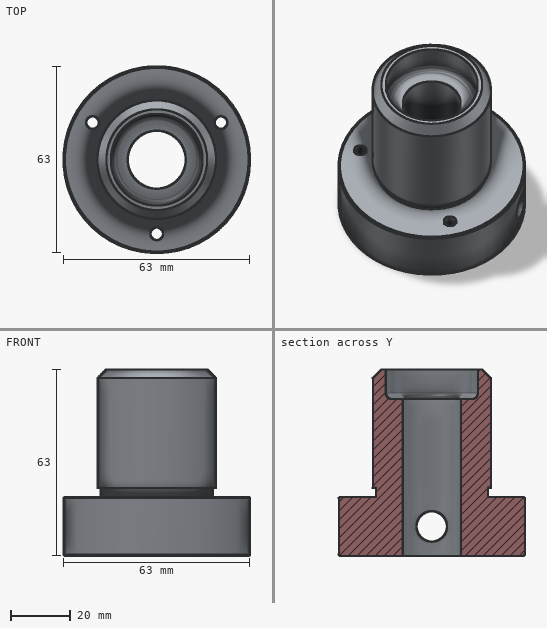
import cadquery as cq

FLANGE_DIAMETER = 63.0
FLANGE_HEIGHT = 20.0
FLANGE_CHAMFER = 0.5

TOTAL_HEIGHT = 63.0
STEM_DIAMETER = 40.0
STEM_CHAMFER = 3.0
UNDERCUT_DIAMETER = 38.0
UNDERCUT_HEIGHT = 3.0

BORE_DIAMETER = 19.5
COUNTERBORE_DIAMETER = 31.0
COUNTERBORE_DEPTH = 10.0
COUNTERBORE_FILLET = 2.0

MOUNTING_HOLE_DIAMETER = 4.2
MOUNTING_HOLE_COUNT = 3
BOLT_CIRCLE_RADIUS = 25.0
FIRST_HOLE_ANGLE = -90.0

RADIAL_HOLE_DIAMETER = 10.2
RADIAL_HOLE_Z = FLANGE_HEIGHT / 2


def make_flange():
    """Disc with small chamfers on both rims."""
    disc = cq.Workplane("XY").circle(FLANGE_DIAMETER / 2).extrude(FLANGE_HEIGHT)
    return disc.edges().chamfer(FLANGE_CHAMFER)


def make_stem():
    """Undercut neck and the main cylinder with its chamfered top."""
    neck = (
        cq.Workplane("XY")
        .workplane(offset=FLANGE_HEIGHT)
        .circle(UNDERCUT_DIAMETER / 2)
        .extrude(UNDERCUT_HEIGHT)
    )
    stem_base = FLANGE_HEIGHT + UNDERCUT_HEIGHT
    cylinder = (
        cq.Workplane("XY")
        .workplane(offset=stem_base)
        .circle(STEM_DIAMETER / 2)
        .extrude(TOTAL_HEIGHT - stem_base)
        .faces(">Z")
        .edges()
        .chamfer(STEM_CHAMFER)
    )
    return neck.union(cylinder)


def make_bore():
    """Through bore with a counterbore whose floor is rounded into its wall."""
    through = cq.Workplane("XY").circle(BORE_DIAMETER / 2).extrude(TOTAL_HEIGHT)
    counterbore = (
        cq.Workplane("XY")
        .workplane(offset=TOTAL_HEIGHT - COUNTERBORE_DEPTH)
        .circle(COUNTERBORE_DIAMETER / 2)
        .extrude(COUNTERBORE_DEPTH)
        .faces("<Z")
        .edges()
        .fillet(COUNTERBORE_FILLET)
    )
    return through.union(counterbore)


def make_mounting_holes():
    """Evenly spaced holes on the bolt circle."""
    return (
        cq.Workplane("XY")
        .polarArray(BOLT_CIRCLE_RADIUS, FIRST_HOLE_ANGLE, 360, MOUNTING_HOLE_COUNT)
        .circle(MOUNTING_HOLE_DIAMETER / 2)
        .extrude(FLANGE_HEIGHT)
    )


def make_radial_hole():
    """Cylinder along +Y from the part axis to the flange rim."""
    return (
        cq.Workplane("XZ", origin=(0, 0, RADIAL_HOLE_Z))
        .circle(RADIAL_HOLE_DIAMETER / 2)
        .extrude(-FLANGE_DIAMETER / 2)
    )


body = make_flange().union(make_stem())
result = body.cut(make_bore()).cut(make_mounting_holes()).cut(make_radial_hole())